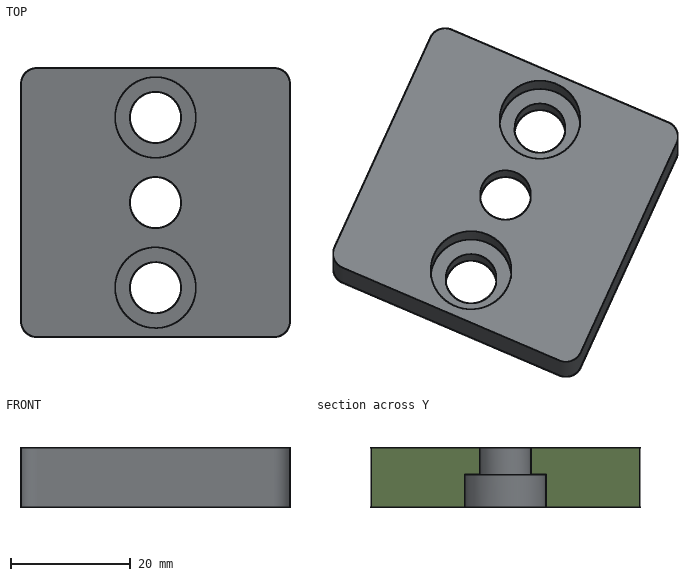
import cadquery as cq

side = 45.0
thickness = 10.0
corner_radius = 2.7

hole_diameter = 8.5
hole_pitch = 14.2
counterbore_diameter = 13.5
counterbore_depth = 5.5


def rounded_plate():
    """Square plate with rounded vertical edges, resting on Z = 0."""
    plate = cq.Workplane("XY").box(side, side, thickness, centered=(True, True, False))
    return plate.edges("|Z").fillet(corner_radius)


def add_counterbored_holes(plate, face, centers):
    """Cut through holes counterbored from the selected face."""
    return (
        plate.faces(face)
        .workplane(centerOption="ProjectedOrigin", origin=(0, 0, 0))
        .pushPoints(centers)
        .cboreHole(hole_diameter, counterbore_diameter, counterbore_depth)
    )


result = rounded_plate()
result = add_counterbored_holes(result, ">Z", [(0, -hole_pitch), (0, hole_pitch)])
result = add_counterbored_holes(result, "<Z", [(0, 0)])